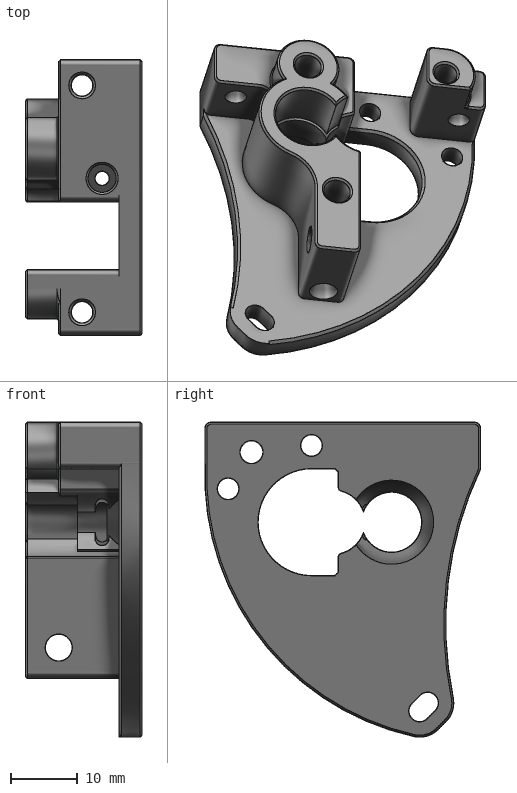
import cadquery as cq
import math


TOTAL_X = 17.5
PLATE_FRONT_X = 14.0
BAR_FRONT_X = 5.0
STEP_X = 7.85
FLARE_START_X = 12.2
EDGE_CHAMFER = 0.3
PLATE_CHAMFER = 0.4
CORNER_RADIUS = 1.0
BASE_FLARE = 0.25

TOP_Z = 15.0
BAR_BOTTOM_Z = 8.0
LEFT_Y = 13.36
RIGHT_Y = -28.0
FOOT_LEFT_Y = -18.1
FOOT_INNER_RADIUS = 1.3
INNER_Y = -8.0

CLAMP_RADIUS = 7.5
BORE_FRONT_RADIUS = 4.95
BORE_REAR_RADIUS = 4.5
RELIEF_Y = -8.78
RELIEF_FRONT_RADIUS = 5.2
RELIEF_REAR_RADIUS = 4.82
LIP_FILLET = 0.6
POST_EDGE_CHAMFER = 0.2
LIP_Y = -6.0
POST_LEFT_Y = -1.08
POST_BOTTOM_Z = -23.45
POST_BLEND_RADIUS = 6.0
BAR_INNER_Y = 4.6
BAR_BLEND_RADIUS = 2.0

BOSS_Z = 9.25
BOSS_RADIUS = 4.7
FOOT_BOSS_Y = -21.0
FOOT_BOSS_Z = 10.5
FOOT_BOSS_RADIUS = 4.5

RIM_CENTER = (12.0, 6.92)
RIM_RADIUS = 40.0
WAIST_RADIUS = 54.6
SLOT_UPPER = (5.4, -27.1)
SLOT_LOWER = (4.2, -28.3)
OPENING_Y = -12.0
OPENING_RADIUS = 8.0
OPENING_CORNER = 0.5
PLATE_HOLES = [(-12.0, 11.5), (-24.5, 5.0)]
PLATE_HOLE_DIAMETER = 3.2

FOOT_HOLE_DIAMETER = 3.4
TOP_HOLE_X = 8.5
TOP_HOLE_DIAMETER = 3.2
TOP_HOLE_CHAMFER = 0.4
TOP_HOLE_YS = (9.5, -24.5)
INSERT_DIAMETER = 4.0
CLAMP_HEAD_DIAMETER = 4.2
BOSS_HOLE_DEPTH = 11.0
DRILL_HALF_ANGLE = 59.0
CLAMP_SCREW_X = 11.5
CLAMP_SCREW_Y = -4.43
CLAMP_SCREW_DIAMETER = 2.1
CLAMP_HEAD_DEPTH = 5.0
POST_HOLE_Z = -12.8
CROSS_HOLE_X = 5.0
CROSS_HOLE_Z = -18.8
CROSS_HOLE_DIAMETER = 4.0

MARGIN = 0.1
OVERLAP = 1.0


def profile(x):
    """Sketch plane at height x along the bore axis, with local axes Y and Z."""
    return cq.Workplane("YZ", origin=(x, 0, 0))


def disc(y, z, radius, x_start, x_end):
    return profile(x_start).center(y, z).circle(radius).extrude(x_end - x_start)


def block(y_min, y_max, z_min, z_max, x_start, x_end):
    return cq.Workplane("XY").box(
        x_end - x_start, y_max - y_min, z_max - z_min, centered=False
    ).translate((x_start, y_min, z_min))


def cone(origin, direction, radius_start, radius_end, length):
    return cq.Workplane(
        cq.Solid.makeCone(radius_start, radius_end, length, cq.Vector(*origin), cq.Vector(*direction))
    )


def cylinder(origin, direction, diameter, length):
    return cq.Workplane(
        cq.Solid.makeCylinder(diameter / 2, length, cq.Vector(*origin), cq.Vector(*direction))
    )


def chamfered_hole(origin, direction, diameter, length, chamfer=EDGE_CHAMFER):
    """Hole with a small chamfer at its mouth."""
    radius = diameter / 2
    mouth = cone(origin, direction, radius + chamfer, radius, chamfer)
    return cylinder(origin, direction, diameter, length).union(mouth)


def edge_box(x_range, y_range, z_range):
    """Selector for edges whose centre lies in the given ranges, with a little slack."""
    ranges = (x_range, y_range, z_range)
    return cq.selectors.BoxSelector(
        tuple(low - MARGIN for low, high in ranges), tuple(high + MARGIN for low, high in ranges)
    )


def base_flare(y, z, radius):
    """Narrow cone around a boss where it meets the face at BAR_FRONT_X."""
    length = 2 * BASE_FLARE
    return cone((BAR_FRONT_X - BASE_FLARE, y, z), (1, 0, 0), radius, radius + length, length)


def on_circle(center, radius, degrees):
    angle = math.radians(degrees)
    return (center[0] + radius * math.cos(angle), center[1] + radius * math.sin(angle))


def outer_corner(first, first_distance, second, second_distance):
    """Point at the given distances from two points, on the +Y side of them."""
    span_y = second[0] - first[0]
    span_z = second[1] - first[1]
    span = math.hypot(span_y, span_z)
    along = (first_distance ** 2 - second_distance ** 2 + span ** 2) / (2 * span)
    aside = math.sqrt(first_distance ** 2 - along ** 2)
    return (
        first[0] + (along * span_y - aside * span_z) / span,
        first[1] + (along * span_z + aside * span_y) / span,
    )


def make_plate_blank():
    """Fan-shaped plate with its outer chamfers; its tip meets the rim arc tangentially."""
    reach_y = SLOT_LOWER[0] - RIM_CENTER[0]
    reach_z = SLOT_LOWER[1] - RIM_CENTER[1]
    reach = math.hypot(reach_y, reach_z)
    tip_radius = RIM_RADIUS - reach
    rim_end_angle = math.degrees(math.atan2(reach_z, reach_y))
    rim_end = on_circle(RIM_CENTER, RIM_RADIUS, rim_end_angle)
    rim_middle = on_circle(RIM_CENTER, RIM_RADIUS, (rim_end_angle - 180) / 2)

    rim_start_z = BAR_BOTTOM_Z + CORNER_RADIUS
    rim_start_rise = rim_start_z - RIM_CENTER[1]
    rim_start = (RIM_CENTER[0] - math.sqrt(RIM_RADIUS ** 2 - rim_start_rise ** 2), rim_start_z)

    waist_foot = (LEFT_Y, BAR_BOTTOM_Z)
    waist_center = outer_corner(waist_foot, WAIST_RADIUS, SLOT_UPPER, WAIST_RADIUS + tip_radius)
    waist_end_angle = math.degrees(
        math.atan2(waist_center[1] - SLOT_UPPER[1], waist_center[0] - SLOT_UPPER[0])
    )
    waist_middle = (waist_center[0] - WAIST_RADIUS, waist_center[1])

    tip_angle = math.degrees(
        math.atan2(SLOT_LOWER[0] - SLOT_UPPER[0], SLOT_UPPER[1] - SLOT_LOWER[1])
    )
    outline = (
        profile(PLATE_FRONT_X)
        .moveTo(LEFT_Y, TOP_Z)
        .lineTo(rim_start[0], TOP_Z)
        .lineTo(*rim_start)
        .threePointArc(rim_middle, rim_end)
        .threePointArc(
            on_circle(SLOT_LOWER, tip_radius, (rim_end_angle + tip_angle) / 2),
            on_circle(SLOT_LOWER, tip_radius, tip_angle),
        )
        .lineTo(*on_circle(SLOT_UPPER, tip_radius, tip_angle))
        .threePointArc(
            on_circle(SLOT_UPPER, tip_radius, (tip_angle + waist_end_angle) / 2),
            on_circle(SLOT_UPPER, tip_radius, waist_end_angle),
        )
        .threePointArc(waist_middle, waist_foot)
        .close()
    )
    plate = outline.extrude(TOTAL_X - PLATE_FRONT_X)
    plate = plate.edges("|X and >Z").fillet(CORNER_RADIUS)
    plate = plate.faces(">X").edges().chamfer(EDGE_CHAMFER)
    rim_and_waist = edge_box((PLATE_FRONT_X, PLATE_FRONT_X), (RIGHT_Y, LEFT_Y), (SLOT_UPPER[1], 0))
    chamfered = plate.faces("<X").edges(rim_and_waist).chamfer(PLATE_CHAMFER)

    bar_zone = block(RIGHT_Y, LEFT_Y, rim_start_z, TOP_Z, PLATE_FRONT_X, TOTAL_X)
    zone_radius = 2 * tip_radius
    tip_zone = (
        profile(PLATE_FRONT_X)
        .polyline([
            SLOT_UPPER,
            SLOT_LOWER,
            on_circle(SLOT_LOWER, zone_radius, rim_end_angle),
            on_circle(SLOT_LOWER, zone_radius, tip_angle),
            on_circle(SLOT_UPPER, zone_radius, tip_angle),
            on_circle(SLOT_UPPER, zone_radius, waist_end_angle),
        ])
        .close()
        .extrude(TOTAL_X - PLATE_FRONT_X)
    )
    return chamfered.union(plate.intersect(tip_zone)).union(plate.intersect(bar_zone))


def make_plate():
    """Plate with its large opening, round on one end and square on the other."""
    half_disc = disc(OPENING_Y, 0, OPENING_RADIUS, PLATE_FRONT_X, TOTAL_X).intersect(
        block(RIGHT_Y, OPENING_Y, -OPENING_RADIUS, OPENING_RADIUS, PLATE_FRONT_X, TOTAL_X)
    )
    square_end = block(OPENING_Y, INNER_Y, -OPENING_RADIUS, OPENING_RADIUS, PLATE_FRONT_X, TOTAL_X)
    opening = half_disc.union(square_end.edges("|X and >Y").chamfer(OPENING_CORNER))
    plate = make_plate_blank().cut(opening)

    opening_mouth = edge_box(
        (PLATE_FRONT_X, PLATE_FRONT_X),
        (OPENING_Y - OPENING_RADIUS, INNER_Y - OPENING_CORNER / 2),
        (-OPENING_RADIUS, OPENING_RADIUS),
    )
    return plate.edges(opening_mouth).chamfer(PLATE_CHAMFER)


def make_clamp(x_start, x_end, bore_radius, relief_radius):
    """One length of the clamp ring with its post."""
    blend_y = POST_LEFT_Y + POST_BLEND_RADIUS
    center_distance = CLAMP_RADIUS + POST_BLEND_RADIUS
    blend_z = -math.sqrt(center_distance ** 2 - blend_y ** 2)
    tangent = (blend_y * CLAMP_RADIUS / center_distance, blend_z * CLAMP_RADIUS / center_distance)
    middle_angle = (math.atan2(-blend_z, -blend_y) + math.pi) / 2
    blend_middle = (
        blend_y + POST_BLEND_RADIUS * math.cos(middle_angle),
        blend_z + POST_BLEND_RADIUS * math.sin(middle_angle),
    )
    post = (
        profile(x_start)
        .moveTo(0, 0)
        .lineTo(INNER_Y, 0)
        .lineTo(INNER_Y, POST_BOTTOM_Z)
        .lineTo(POST_LEFT_Y, POST_BOTTOM_Z)
        .lineTo(POST_LEFT_Y, blend_z)
        .threePointArc(blend_middle, tangent)
        .close()
        .extrude(x_end - x_start)
        .edges("|X and <Z").fillet(CORNER_RADIUS)
    )
    post = post.cut(disc(RELIEF_Y, 0, RELIEF_FRONT_RADIUS, x_start, x_end))
    edge_z = -math.sqrt(RELIEF_FRONT_RADIUS ** 2 - (INNER_Y - RELIEF_Y) ** 2)
    inner_edge = edge_box((x_start, x_end), (INNER_Y, INNER_Y), (edge_z, edge_z))
    post = post.edges(inner_edge).edges("|X").chamfer(POST_EDGE_CHAMFER)
    ring = disc(0, 0, CLAMP_RADIUS, x_start, x_end)
    ring = ring.cut(disc(RELIEF_Y, 0, relief_radius, x_start, x_end))
    return post.union(ring).cut(disc(0, 0, bore_radius, x_start, x_end))


def make_front_clamp():
    clamp = make_clamp(0, STEP_X, BORE_FRONT_RADIUS, RELIEF_FRONT_RADIUS)
    clamp = clamp.faces("<X").edges().chamfer(EDGE_CHAMFER)
    boss = disc(0, BOSS_Z, BOSS_RADIUS, 0, STEP_X).faces("<X").edges().chamfer(EDGE_CHAMFER)
    boss = boss.cut(disc(0, 0, CLAMP_RADIUS - OVERLAP, 0, STEP_X))
    return clamp.union(boss)


def make_rear_clamp():
    return make_clamp(STEP_X, PLATE_FRONT_X, BORE_REAR_RADIUS, RELIEF_REAR_RADIUS)


def make_bar():
    bar = (
        profile(BAR_FRONT_X)
        .moveTo(INNER_Y, TOP_Z)
        .lineTo(LEFT_Y, TOP_Z)
        .lineTo(LEFT_Y, BAR_BOTTOM_Z)
        .lineTo(BAR_INNER_Y + BAR_BLEND_RADIUS, BAR_BOTTOM_Z)
        .radiusArc((BAR_INNER_Y, BAR_BOTTOM_Z - BAR_BLEND_RADIUS), -BAR_BLEND_RADIUS)
        .lineTo(BAR_INNER_Y, 0)
        .lineTo(INNER_Y, 0)
        .close()
        .extrude(PLATE_FRONT_X - BAR_FRONT_X)
        .cut(disc(0, 0, BORE_REAR_RADIUS, BAR_FRONT_X, PLATE_FRONT_X))
        .cut(disc(RELIEF_Y, 0, RELIEF_REAR_RADIUS, BAR_FRONT_X, PLATE_FRONT_X))
    )
    bar = bar.edges("|X and >Z").fillet(CORNER_RADIUS)
    bar = bar.edges("|X and >Y").edges("<Z").fillet(CORNER_RADIUS)
    bar = bar.edges("|X and <Y").edges("<Z").fillet(LIP_FILLET)
    outer_edges = edge_box((BAR_FRONT_X, BAR_FRONT_X), (INNER_Y, LEFT_Y), (BORE_REAR_RADIUS, TOP_Z))
    bar = bar.faces("<X").edges(outer_edges).chamfer(EDGE_CHAMFER)
    front_bore = disc(0, 0, BORE_FRONT_RADIUS, BAR_FRONT_X, STEP_X)
    front_relief = disc(RELIEF_Y, 0, RELIEF_FRONT_RADIUS, BAR_FRONT_X, STEP_X).intersect(
        block(LIP_Y, 0, 0, TOP_Z, BAR_FRONT_X, STEP_X)
    )
    flare = base_flare(0, BOSS_Z, BOSS_RADIUS).cut(disc(0, 0, CLAMP_RADIUS, 0, BAR_FRONT_X + OVERLAP))
    return bar.cut(front_bore).cut(front_relief).union(flare)


def round_foot(foot):
    """Round the long edges of the foot; the lower inner one is rounder."""
    foot = foot.edges("|X and >Y").edges("<Z").fillet(FOOT_INNER_RADIUS)
    foot = foot.edges("|X and >Z").fillet(CORNER_RADIUS)
    return foot.edges("|X and <Y").edges("<Z").fillet(CORNER_RADIUS)


def make_foot():
    base = block(RIGHT_Y, FOOT_LEFT_Y, BAR_BOTTOM_Z, TOP_Z, BAR_FRONT_X, TOTAL_X)
    base = round_foot(base)
    base = base.faces("<X or >X").edges().chamfer(EDGE_CHAMFER)
    envelope = block(RIGHT_Y, FOOT_LEFT_Y, BAR_BOTTOM_Z, TOP_Z, 0, BAR_FRONT_X + OVERLAP)
    envelope = round_foot(envelope)
    boss = disc(FOOT_BOSS_Y, FOOT_BOSS_Z, FOOT_BOSS_RADIUS, 0, BAR_FRONT_X + OVERLAP).union(
        block(FOOT_BOSS_Y, FOOT_LEFT_Y, BAR_BOTTOM_Z, TOP_Z, 0, BAR_FRONT_X + OVERLAP)
    )
    boss = boss.intersect(envelope).faces("<X").edges().chamfer(EDGE_CHAMFER)
    flare = base_flare(FOOT_BOSS_Y, FOOT_BOSS_Z, FOOT_BOSS_RADIUS).intersect(envelope)
    return base.union(boss).union(flare)


def make_rear_flare():
    """Bore widening behind the clamp: a 45 degree cone and a straight run through the plate."""
    depth = PLATE_FRONT_X - FLARE_START_X
    radius = BORE_REAR_RADIUS + depth
    flare = cone((FLARE_START_X, 0, 0), (1, 0, 0), BORE_REAR_RADIUS, radius, depth)
    return flare.union(disc(0, 0, radius, PLATE_FRONT_X, TOTAL_X))


def make_clearance():
    """Openings that the bore and the relief cut through the plate, with rounded corners."""
    bore = disc(0, 0, BORE_REAR_RADIUS, PLATE_FRONT_X, TOTAL_X)
    web = block(INNER_Y, 0, 0, CLAMP_RADIUS, PLATE_FRONT_X, TOTAL_X)
    kept = web.cut(disc(RELIEF_Y, 0, RELIEF_REAR_RADIUS, PLATE_FRONT_X, TOTAL_X))
    kept = kept.edges("|X and <Y").edges("<Z").fillet(LIP_FILLET)
    relief = web.cut(kept)
    return bore.union(relief).union(relief.mirror("XY"))


def make_plate_holes():
    holes = profile(PLATE_FRONT_X).pushPoints(PLATE_HOLES).circle(PLATE_HOLE_DIAMETER / 2)
    holes = holes.extrude(TOTAL_X - PLATE_FRONT_X)
    span_y = SLOT_UPPER[0] - SLOT_LOWER[0]
    span_z = SLOT_UPPER[1] - SLOT_LOWER[1]
    slot = (
        profile(PLATE_FRONT_X)
        .center((SLOT_UPPER[0] + SLOT_LOWER[0]) / 2, (SLOT_UPPER[1] + SLOT_LOWER[1]) / 2)
        .slot2D(
            math.hypot(span_y, span_z) + PLATE_HOLE_DIAMETER,
            PLATE_HOLE_DIAMETER,
            math.degrees(math.atan2(span_z, span_y)),
        )
        .extrude(TOTAL_X - PLATE_FRONT_X)
    )
    return holes.union(slot)


def make_boss_hole():
    radius = INSERT_DIAMETER / 2
    tip_length = radius / math.tan(math.radians(DRILL_HALF_ANGLE))
    hole = chamfered_hole((0, 0, BOSS_Z), (1, 0, 0), INSERT_DIAMETER, BOSS_HOLE_DEPTH)
    return hole.union(cone((BOSS_HOLE_DEPTH, 0, BOSS_Z), (1, 0, 0), radius, 0, tip_length))


def make_clamp_screw_hole():
    """Stepped vertical hole across the slit: head from above, wide bore from below."""
    top = (CLAMP_SCREW_X, CLAMP_SCREW_Y, TOP_Z)
    bottom = (CLAMP_SCREW_X, CLAMP_SCREW_Y, POST_BOTTOM_Z)
    down = (0, 0, -1)
    shank = cylinder(top, down, CLAMP_SCREW_DIAMETER, TOP_Z - POST_BOTTOM_Z)
    head = chamfered_hole(top, down, CLAMP_HEAD_DIAMETER, CLAMP_HEAD_DEPTH)
    lower_length = POST_HOLE_Z + CLAMP_HEAD_DIAMETER / 2 - POST_BOTTOM_Z
    lower = cylinder(bottom, (0, 0, 1), CLAMP_HEAD_DIAMETER, lower_length)
    entry = chamfered_hole((0, CLAMP_SCREW_Y, POST_HOLE_Z), (1, 0, 0), INSERT_DIAMETER, CLAMP_SCREW_X)
    return shank.union(head).union(lower).union(entry)


def make_top_holes():
    down = (0, 0, -1)
    length = TOP_Z - BAR_BOTTOM_Z
    left, right = [
        chamfered_hole((TOP_HOLE_X, y, TOP_Z), down, TOP_HOLE_DIAMETER, length, TOP_HOLE_CHAMFER)
        for y in TOP_HOLE_YS
    ]
    return left.union(right)


def make_foot_hole():
    return chamfered_hole((0, FOOT_BOSS_Y, FOOT_BOSS_Z), (1, 0, 0), FOOT_HOLE_DIAMETER, TOTAL_X)


def make_cross_hole():
    start = (CROSS_HOLE_X, INNER_Y, CROSS_HOLE_Z)
    return cylinder(start, (0, 1, 0), CROSS_HOLE_DIAMETER, POST_LEFT_Y - INNER_Y)


body = make_plate().cut(make_clearance())
for piece in (make_front_clamp(), make_rear_clamp(), make_bar(), make_foot()):
    body = body.union(piece)

cutters = (
    make_rear_flare(),
    make_plate_holes(),
    make_boss_hole(),
    make_clamp_screw_hole(),
    make_top_holes(),
    make_foot_hole(),
    make_cross_hole(),
)
for cutter in cutters:
    body = body.cut(cutter)

result = body